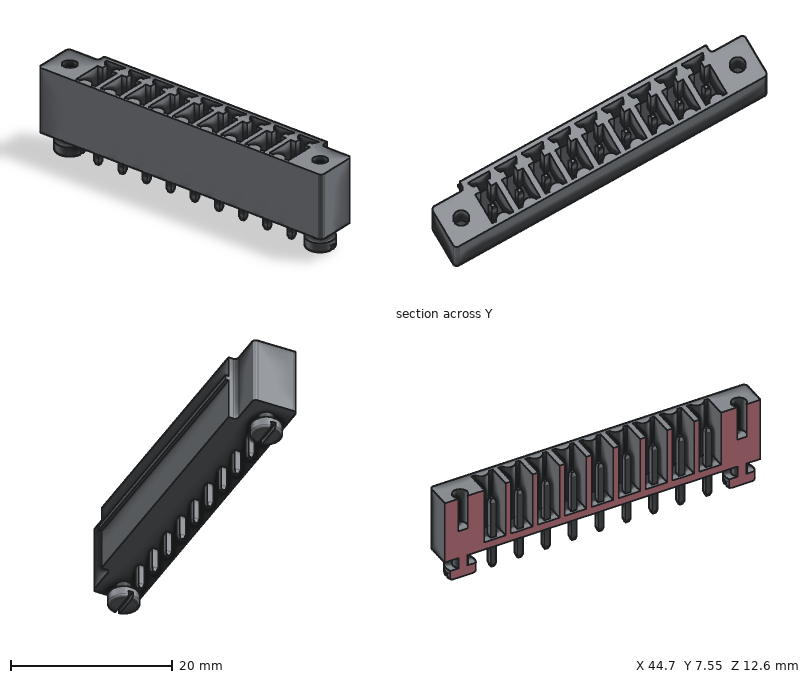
import cadquery as cq

pin_count = 9
pitch = 3.81
length = 44.68
housing_height = 9.2
front_y = -3.0
wing_back_y = 3.0
back_y = 4.15
centre_length = 35.2
corner_radius = 0.5
step_radius = 0.5
selection_margin = 0.01

ridge_depth = 0.4
ridge_height = 0.7
ridge_centre_z = 6.0

pocket_half_width = 1.5
pocket_front_y = -2.5
pocket_shoulder_y = 1.75
pocket_neck_half_width = 0.73
pocket_neck_end_y = 2.7
pocket_back_y = 3.5
pocket_depth = 8.0
lobe_half_width = 1.15
lobe_bulge = 0.07
bump_half_width = 0.95
bump_height = 0.65

pin_width = 0.8
pin_tail = 3.4
pin_top_z = 7.0
pin_tip_length = 0.55
pin_tip_width = 0.45

screw_end_distance = 2.6
screw_x = length / 2 - screw_end_distance
screw_diameter = 2.0
screw_head_diameter = 4.0
screw_head_height = 1.5
screw_neck_length = 1.5
screw_head_fillet = 0.4
screw_slot_width = 0.6
screw_slot_depth = 0.85
screw_hole_depth = 5.0

pin_positions = [(i - (pin_count - 1) / 2) * pitch for i in range(pin_count)]


def make_housing():
    """Long block whose two end wings are shallower than its centre."""
    wings = (
        cq.Workplane("XY")
        .rect(length, wing_back_y - front_y)
        .extrude(housing_height)
        .translate((0, (wing_back_y + front_y) / 2, 0))
        .edges("|Z")
        .fillet(corner_radius)
    )
    centre = (
        cq.Workplane("XY")
        .rect(centre_length, back_y - front_y)
        .extrude(housing_height)
        .translate((0, (back_y + front_y) / 2, 0))
    )
    inner_corners = cq.selectors.BoxSelector(
        (-length, wing_back_y - selection_margin, 0),
        (length, wing_back_y + selection_margin, housing_height),
    )
    housing = wings.union(centre).edges("|Z").edges(inner_corners).fillet(step_radius)
    ridge = cq.Workplane("XY").box(centre_length, 2 * ridge_depth, ridge_height)
    return housing.union(ridge.translate((0, back_y, ridge_centre_z)))


def make_pocket():
    """Keyhole-shaped pocket with a rounded bump on its front wall and a necked rear lobe."""
    lobe_mid = (
        (pocket_half_width + lobe_half_width) / 2 + lobe_bulge,
        (pocket_back_y + pocket_neck_end_y) / 2,
    )
    return (
        cq.Workplane("XY", origin=(0, 0, housing_height - pocket_depth))
        .moveTo(-pocket_half_width, pocket_front_y)
        .lineTo(-bump_half_width, pocket_front_y)
        .threePointArc((0, pocket_front_y + bump_height), (bump_half_width, pocket_front_y))
        .lineTo(pocket_half_width, pocket_front_y)
        .lineTo(pocket_half_width, pocket_shoulder_y)
        .lineTo(pocket_neck_half_width, pocket_shoulder_y)
        .lineTo(pocket_neck_half_width, pocket_neck_end_y)
        .lineTo(lobe_half_width, pocket_neck_end_y)
        .threePointArc(lobe_mid, (pocket_half_width, pocket_back_y))
        .lineTo(-pocket_half_width, pocket_back_y)
        .threePointArc((-lobe_mid[0], lobe_mid[1]), (-lobe_half_width, pocket_neck_end_y))
        .lineTo(-pocket_neck_half_width, pocket_neck_end_y)
        .lineTo(-pocket_neck_half_width, pocket_shoulder_y)
        .lineTo(-pocket_half_width, pocket_shoulder_y)
        .close()
        .extrude(pocket_depth)
    )


def make_pin_tip(base_z, end_z):
    """Square taper from the full pin width at base_z to the tip width at end_z."""
    return (
        cq.Workplane("XY", origin=(0, 0, base_z))
        .rect(pin_width, pin_width)
        .workplane(offset=end_z - base_z)
        .rect(pin_tip_width, pin_tip_width)
        .loft()
    )


def make_pin():
    """Square pin with a tapered tip at each end."""
    shank_bottom = -pin_tail + pin_tip_length
    shank_top = pin_top_z - pin_tip_length
    shank = (
        cq.Workplane("XY", origin=(0, 0, shank_bottom))
        .rect(pin_width, pin_width)
        .extrude(shank_top - shank_bottom)
    )

    lower_tip = make_pin_tip(shank_bottom, -pin_tail)
    upper_tip = make_pin_tip(shank_top, pin_top_z)
    return shank.union(lower_tip).union(upper_tip)


def make_screw():
    """Screw below a wing: plain neck and a slotted head rounded at its lower edge."""
    neck = cq.Workplane("XY").circle(screw_diameter / 2).extrude(-screw_neck_length)
    head = (
        cq.Workplane("XY", origin=(0, 0, -screw_neck_length))
        .circle(screw_head_diameter / 2)
        .extrude(-screw_head_height)
        .faces("<Z")
        .edges()
        .fillet(screw_head_fillet)
    )
    head_bottom_z = -screw_neck_length - screw_head_height
    slot = (
        cq.Workplane("XY", origin=(0, 0, head_bottom_z))
        .rect(screw_head_diameter, screw_slot_width)
        .extrude(screw_slot_depth)
    )
    return neck.union(head).cut(slot)


def make_screw_hole():
    """Blind hole in the top of a wing."""
    return (
        cq.Workplane("XY", origin=(0, 0, housing_height))
        .circle(screw_diameter / 2)
        .extrude(-screw_hole_depth)
    )


result = make_housing()
for x in pin_positions:
    result = result.cut(make_pocket().translate((x, 0, 0)))
    result = result.union(make_pin().translate((x, 0, 0)))
for x in (-screw_x, screw_x):
    result = result.cut(make_screw_hole().translate((x, 0, 0)))
    result = result.union(make_screw().translate((x, 0, 0)))